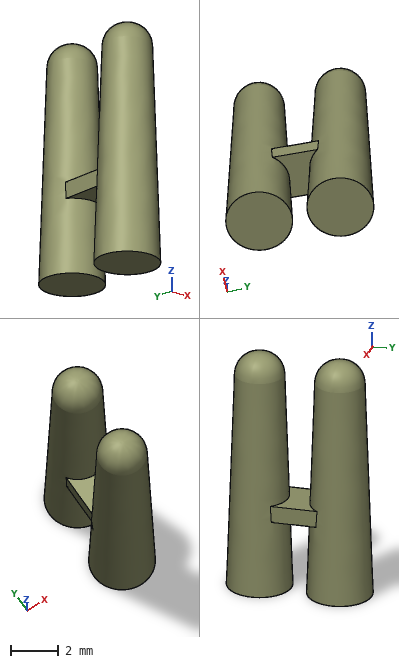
import cadquery as cq
import math

height = 10.8
base_diameter = 2.83
overall_length = 6.33

draft_angle = 2.0
tip_radius = 1.0
base_radius = base_diameter / 2
pin_spacing = overall_length - base_diameter
top_radius = base_radius - height * math.tan(math.radians(draft_angle))

bridge_width = 2.07
bridge_bottom = 3.42
bridge_thickness = 0.75


def tapered_pin(y_center):
    """Drafted post whose rounded tip leaves a tiny flat at the top."""
    return (
        cq.Workplane("XY")
        .circle(base_radius)
        .workplane(offset=height)
        .circle(top_radius)
        .loft(ruled=True)
        .faces(">Z")
        .edges()
        .fillet(tip_radius)
        .translate((0, y_center, 0))
    )


result = (
    cq.Workplane("XY")
    .workplane(offset=bridge_bottom)
    .rect(bridge_width, pin_spacing)
    .extrude(bridge_thickness)
)
for side in (-1, 1):
    result = result.union(tapered_pin(side * pin_spacing / 2))